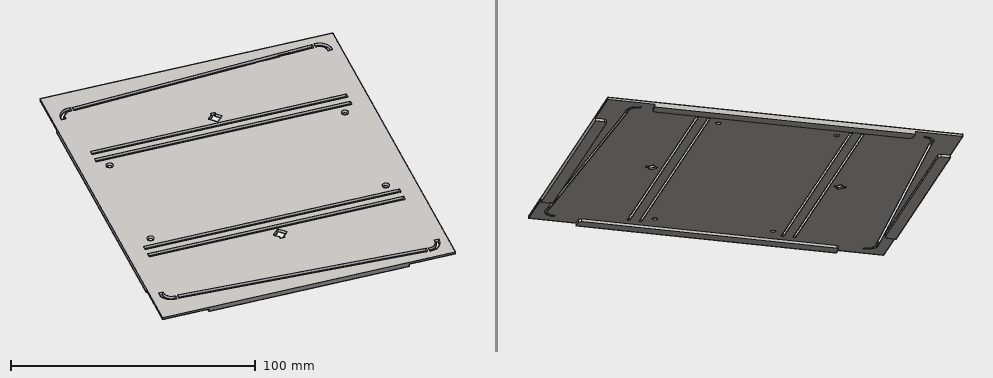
import cadquery as cq
import math

length_x = 150.0
width_y = 127.0
height = 2.2
plate_thickness = 1.0

rib_width = 5.0
rib_end_gap = 20.0
rib_corner_chamfer = 1.1

flare = 0.5
slot_width = 1.0
hole_diameter = 2.0
hole_x = 25.0
hole_y = 51.0

straight_slot_xs = (30.0, 35.0)
straight_slot_length = 110.0

slanted_slot_x = 66.95
slanted_slot_length = 105.0
slant_angle = 3.0

curl_radius = 4.4
curl_tip_length = 0.1
curl_center_y = 54.4
back_curl_center_x = -65.5
front_curl_center_x = -60.0

arrow_x = 39.7
arrow_half_diagonal = 2.3
arrow_tail_reach = 2.5

bottom_z = -height / 2
top_z = height / 2
plate_bottom_z = top_z - plate_thickness


def plate_underside():
    return cq.Workplane("XY").workplane(offset=plate_bottom_z)


def make_plate():
    return plate_underside().rect(length_x, width_y).extrude(plate_thickness)


def make_rib(edge_length, edge_distance):
    """Rib along an edge at -Y, edge_distance from the middle, with its two inner corners cut off."""
    rib = (
        cq.Workplane("XY")
        .workplane(offset=bottom_z)
        .center(0, -edge_distance + rib_width / 2)
        .rect(edge_length - 2 * rib_end_gap, rib_width)
        .extrude(height)
    )
    return rib.edges("|Z and >Y").chamfer(rib_corner_chamfer)


def add_ribs(body):
    rib_x = make_rib(length_x, width_y / 2)
    rib_y = make_rib(width_y, length_x / 2)
    for rib, turn in ((rib_x, 0), (rib_y, 90), (rib_x, 180), (rib_y, 270)):
        body = body.union(rib.rotate((0, 0, 0), (0, 0, 1), turn))
    return body


def flared_opening(draw_outline):
    """Cutter between two outlines: draw_outline(plane, grow) gives a closed outline grown by grow."""
    lower = draw_outline(plate_underside(), 0)
    both = draw_outline(lower.workplane(offset=plate_thickness), flare)
    return both.loft(ruled=True, combine=False)


def cut_on_both_sides(body, cutter):
    return body.cut(cutter).cut(cutter.mirror("YZ"))


def rectangular_opening(x, y, size_x, size_y):
    def outline(plane, grow):
        return plane.pushPoints([(x, y)]).rect(size_x + 2 * grow, size_y + 2 * grow)

    return flared_opening(outline)


def screw_hole_outline(plane, grow):
    return plane.circle(hole_diameter / 2 + grow)


def cut_screw_holes(body):
    hole = flared_opening(screw_hole_outline)
    for y in (-hole_y, hole_y):
        body = cut_on_both_sides(body, hole.translate((-hole_x, y, 0)))
    return body


def cut_straight_slots(body):
    for slot_x in straight_slot_xs:
        slot = rectangular_opening(-slot_x, 0, slot_width, straight_slot_length)
        body = cut_on_both_sides(body, slot)
    return body


def cut_slanted_slots(body):
    slot = rectangular_opening(0, 0, slot_width, slanted_slot_length)
    slot = slot.rotate((0, 0, 0), (0, 0, 1), slant_angle).translate((-slanted_slot_x, 0, 0))
    return cut_on_both_sides(body, slot)


def curl_outline(plane, grow):
    """Quarter ring about the origin, from -X round to +Y, with a short straight tip at each end."""
    outer = curl_radius + slot_width / 2 + grow
    inner = curl_radius - slot_width / 2 - grow
    tip = curl_tip_length + grow
    diagonal = math.sqrt(0.5)
    return (
        plane.moveTo(-outer, -tip)
        .lineTo(-outer, 0)
        .threePointArc((-outer * diagonal, outer * diagonal), (0, outer))
        .lineTo(tip, outer)
        .lineTo(tip, inner)
        .lineTo(0, inner)
        .threePointArc((-inner * diagonal, inner * diagonal), (-inner, 0))
        .lineTo(-inner, -tip)
        .close()
    )


def cut_curls(body):
    curl = flared_opening(curl_outline)
    back_curl = curl.translate((back_curl_center_x, curl_center_y, 0))
    front_curl = curl.mirror("XZ").translate((front_curl_center_x, -curl_center_y, 0))
    return cut_on_both_sides(cut_on_both_sides(body, back_curl), front_curl)


def arrow_head_outline(plane, grow):
    reach = arrow_half_diagonal + grow * math.sqrt(2)
    return plane.polyline(
        [
            (-arrow_x - reach, 0),
            (-arrow_x, -reach),
            (-arrow_x + reach, 0),
            (-arrow_x, reach),
        ]
    ).close()


def cut_arrows(body):
    tail = rectangular_opening(-arrow_x - arrow_tail_reach / 2, 0, arrow_tail_reach, slot_width)
    body = cut_on_both_sides(body, flared_opening(arrow_head_outline))
    return cut_on_both_sides(body, tail)


result = add_ribs(make_plate())
result = cut_screw_holes(result)
result = cut_straight_slots(result)
result = cut_slanted_slots(result)
result = cut_curls(result)
result = cut_arrows(result)